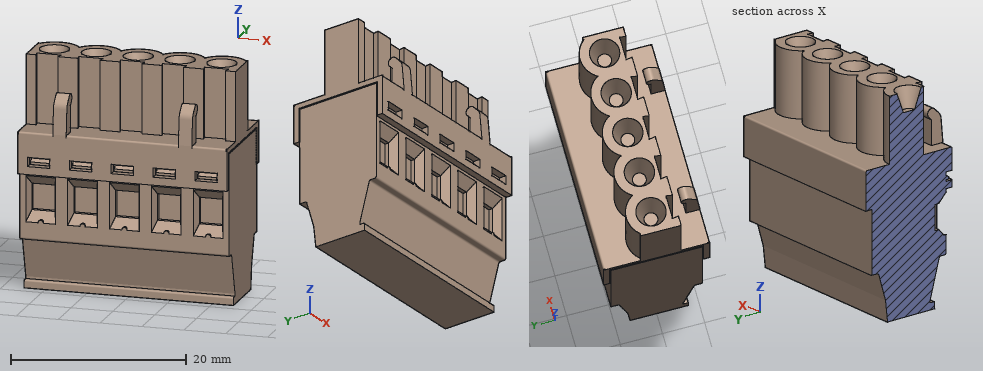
import cadquery as cq
import math


POLES = 5
PITCH = 5.0
WIDTH = POLES * PITCH
DEPTH = 12.59
HEIGHT = 27.6
pole_centres = [PITCH * (index + 0.5) for index in range(POLES)]

COLLAR_TOP = 19.27
FLAP_BOTTOM = 14.29
CAP_BOTTOM = 18.62
FLAP_THICKNESS = 0.85
COLLAR_EDGE_RADIUS = 0.22
COLLAR_END_LAND = 0.1

BODY_FRONT = FLAP_THICKNESS
BODY_BACK = DEPTH - FLAP_THICKNESS
SHOULDER_Z = 6.25
SHOULDER_RADIUS = 0.25
SHOULDER_WIDTH = 0.97
FRONT_TAPER_END = (3.18, 1.2)
BACK_TAPER_KINK = (9.75, 2.74)
BACK_FOOT_Y = 9.45
FOOT_LIP_FRONT = 2.52
FOOT_LIP_TOP = 0.95
FOOT_LIP_RADIUS = 0.2

GROOVE_WIDTH = 0.1
GROOVE_DEPTH = 0.1

PLUG_FRONT = 3.39
SOCKET_Y = 6.29
SOCKET_RADIUS = 2.91
END_LAND_BACK = 8.2
END_LAND_LENGTH = 0.25
FUNNEL_TOP_DIAMETER = 3.47
FUNNEL_BOTTOM_DIAMETER = 1.59
FUNNEL_DEPTH = 2.5

DOVETAIL_NECK = 2.62
DOVETAIL_FLOOR = 2.86
DOVETAIL_DEPTH = 0.73

LATCH_CENTRES = [PITCH, WIDTH - PITCH]
LATCH_WIDTH = 1.6
LATCH_BACK = 1.69
LATCH_TIP_CENTRE = (1.64, 23.22)
LATCH_TIP_RADIUS = 0.6
LATCH_FRONT_LEAN = 0.31
LATCH_BEND_RADIUS = 1.1

ENTRY_WIDTH = 3.55
ENTRY_BOTTOM = 8.4
ENTRY_TOP = 13.9
ENTRY_INNER_WIDTH = 2.76
ENTRY_INNER_BOTTOM = 9.58
ENTRY_INNER_TOP = 12.73
ENTRY_TAPER_DEPTH = 1.1
ENTRY_STRAIGHT_DEPTH = 0.5
ENTRY_BUMP_RADIUS = 0.32

SLOT_WIDTH = 2.66
SLOT_BOTTOM = 15.24
SLOT_TOP = 16.34
SLOT_DEPTH = 0.9
BAR_WIDTH = 2.26
BAR_BOTTOM = 15.38
BAR_FACE_TOP = 15.68
BAR_TOP = 16.02
BAR_FACE_Y = 0.48


def box(x0, x1, y0, y1, z0, z1):
    """Axis-aligned box between two opposite corners."""
    return cq.Workplane("XY").box(x1 - x0, y1 - y0, z1 - z0, centered=False).translate((x0, y0, z0))


def side_profile(points, x_start, length):
    """Prism along X from a closed outline of (y, z) points."""
    return cq.Workplane("YZ", origin=(x_start, 0, 0)).polyline(points).close().extrude(length)


def make_body():
    """Tapered body with rounded shoulders and a foot lip at the front."""
    front_y, front_z = FRONT_TAPER_END
    front_shoulder = (BODY_FRONT + SHOULDER_WIDTH, SHOULDER_Z)
    back_shoulder = (BODY_BACK - SHOULDER_WIDTH, SHOULDER_Z)
    body = side_profile([
        (FOOT_LIP_FRONT, 0),
        (FOOT_LIP_FRONT, FOOT_LIP_TOP),
        (front_y, FOOT_LIP_TOP),
        (front_y, front_z),
        front_shoulder,
        (BODY_FRONT, SHOULDER_Z),
        (BODY_FRONT, COLLAR_TOP),
        (BODY_BACK, COLLAR_TOP),
        (BODY_BACK, SHOULDER_Z),
        back_shoulder,
        BACK_TAPER_KINK,
        (BACK_FOOT_Y, 0),
    ], 0, WIDTH)

    def edge_near(y, z):
        return cq.selectors.NearestToPointSelector((WIDTH / 2, y, z))

    for y, z in [(BODY_FRONT, SHOULDER_Z), front_shoulder, back_shoulder]:
        body = body.edges(edge_near(y, z)).fillet(SHOULDER_RADIUS)
    return body.edges(edge_near(FOOT_LIP_FRONT, FOOT_LIP_TOP)).fillet(FOOT_LIP_RADIUS)


def collar_edge_waste(y_edge, inward):
    """Waste outside the rounded top edge of the collar; inward is +1 at the front, -1 at the back."""
    radius = COLLAR_EDGE_RADIUS
    arc_offset = radius * (1 - math.sqrt(0.5))
    return (
        cq.Workplane("YZ", origin=(COLLAR_END_LAND, 0, 0))
        .moveTo(y_edge, COLLAR_TOP)
        .lineTo(y_edge, COLLAR_TOP - radius)
        .threePointArc(
            (y_edge + inward * arc_offset, COLLAR_TOP - arc_offset),
            (y_edge + inward * radius, COLLAR_TOP),
        )
        .close()
        .extrude(WIDTH - 2 * COLLAR_END_LAND)
    )


def make_collar():
    """Cap and flaps as one block; the body fills the space between the flaps."""
    collar = box(0, WIDTH, 0, DEPTH, FLAP_BOTTOM, COLLAR_TOP)
    collar = collar.cut(collar_edge_waste(0, 1))
    return collar.cut(collar_edge_waste(DEPTH, -1))


def make_end_groove(x_start):
    """Inverted-U groove that follows the underside of the cap and the inside of the flaps."""
    outer = box(
        x_start, x_start + GROOVE_DEPTH,
        BODY_FRONT - GROOVE_WIDTH, BODY_BACK + GROOVE_WIDTH,
        FLAP_BOTTOM, CAP_BOTTOM,
    )
    inner = box(
        x_start, x_start + GROOVE_DEPTH,
        BODY_FRONT, BODY_BACK,
        FLAP_BOTTOM, CAP_BOTTOM - GROOVE_WIDTH,
    )
    return outer.cut(inner)


def make_plug():
    """Row of sockets with rounded backs, square at the two outer ends."""
    plug = box(0, WIDTH, PLUG_FRONT, SOCKET_Y, COLLAR_TOP, HEIGHT)
    for x in pole_centres:
        round_back = (
            cq.Workplane("XY", origin=(x, SOCKET_Y, COLLAR_TOP))
            .circle(SOCKET_RADIUS)
            .extrude(HEIGHT - COLLAR_TOP)
        )
        cell = box(x - PITCH / 2, x + PITCH / 2, SOCKET_Y, DEPTH, COLLAR_TOP, HEIGHT)
        plug = plug.union(round_back.intersect(cell))
    for x in (0, WIDTH - END_LAND_LENGTH):
        plug = plug.union(box(x, x + END_LAND_LENGTH, PLUG_FRONT, END_LAND_BACK, COLLAR_TOP, HEIGHT))
    return plug


def make_funnel(x):
    """Conical contact opening with a flat floor."""
    funnel = cq.Solid.makeCone(
        FUNNEL_BOTTOM_DIAMETER / 2, FUNNEL_TOP_DIAMETER / 2, FUNNEL_DEPTH,
        cq.Vector(x, SOCKET_Y, HEIGHT - FUNNEL_DEPTH), cq.Vector(0, 0, 1),
    )
    return cq.Workplane(funnel)


def make_dovetail(x):
    """Coding groove, wider at its floor, over the full height of the plug block."""
    return (
        cq.Workplane("XY", origin=(x, PLUG_FRONT, COLLAR_TOP))
        .polyline([
            (-DOVETAIL_NECK / 2, 0),
            (DOVETAIL_NECK / 2, 0),
            (DOVETAIL_FLOOR / 2, DOVETAIL_DEPTH),
            (-DOVETAIL_FLOOR / 2, DOVETAIL_DEPTH),
        ])
        .close()
        .extrude(HEIGHT - COLLAR_TOP)
    )


def make_latch(x):
    """Upright hook with a rounded tip that leans back over the cap."""
    tip_y, tip_z = LATCH_TIP_CENTRE
    diagonal = LATCH_TIP_RADIUS * math.sqrt(0.5)
    root_z = COLLAR_TOP - COLLAR_EDGE_RADIUS
    slope_start = (tip_y - diagonal, tip_z + diagonal)
    tip_end = (tip_y + diagonal, tip_z - diagonal)
    bend_z = slope_start[1] - (slope_start[0] - LATCH_FRONT_LEAN)
    throat_z = tip_end[1] - (tip_end[0] - LATCH_BACK)
    latch = (
        cq.Workplane("YZ", origin=(x - LATCH_WIDTH / 2, 0, 0))
        .moveTo(0, root_z)
        .lineTo(0, COLLAR_TOP)
        .lineTo(LATCH_FRONT_LEAN, bend_z)
        .lineTo(*slope_start)
        .threePointArc((tip_y + diagonal, tip_z + diagonal), tip_end)
        .lineTo(LATCH_BACK, throat_z)
        .lineTo(LATCH_BACK, root_z)
        .close()
        .extrude(LATCH_WIDTH)
    )
    bend = cq.selectors.NearestToPointSelector((x, LATCH_FRONT_LEAN, bend_z))
    return latch.edges(bend).fillet(LATCH_BEND_RADIUS)


def make_wire_entry(x):
    """Tapered wire funnel ending in a short straight pocket, with a small bump left on its sill."""
    mouth_middle = (ENTRY_BOTTOM + ENTRY_TOP) / 2
    inner_middle = (ENTRY_INNER_BOTTOM + ENTRY_INNER_TOP) / 2
    taper_end = BODY_FRONT + ENTRY_TAPER_DEPTH
    taper = (
        cq.Workplane("XZ", origin=(x, BODY_FRONT, mouth_middle))
        .rect(ENTRY_WIDTH, ENTRY_TOP - ENTRY_BOTTOM)
        .workplane(offset=-ENTRY_TAPER_DEPTH)
        .center(0, inner_middle - mouth_middle)
        .rect(ENTRY_INNER_WIDTH, ENTRY_INNER_TOP - ENTRY_INNER_BOTTOM)
        .loft(ruled=True)
    )
    pocket = box(
        x - ENTRY_INNER_WIDTH / 2, x + ENTRY_INNER_WIDTH / 2,
        taper_end, taper_end + ENTRY_STRAIGHT_DEPTH,
        ENTRY_INNER_BOTTOM, ENTRY_INNER_TOP,
    )
    bump = (
        cq.Workplane("XZ", origin=(x, BODY_FRONT, ENTRY_BOTTOM))
        .circle(ENTRY_BUMP_RADIUS)
        .extrude(-ENTRY_TAPER_DEPTH)
    )
    return taper.union(pocket).cut(bump)


def make_test_slot(x):
    """Slot cavity, less the wedge-topped bar that stands in it."""
    slot = box(x - SLOT_WIDTH / 2, x + SLOT_WIDTH / 2, 0, SLOT_DEPTH, SLOT_BOTTOM, SLOT_TOP)
    bar = side_profile([
        (BAR_FACE_Y, BAR_BOTTOM),
        (BAR_FACE_Y, BAR_FACE_TOP),
        (SLOT_DEPTH, BAR_TOP),
        (SLOT_DEPTH, BAR_BOTTOM),
    ], x - BAR_WIDTH / 2, BAR_WIDTH)
    return slot.cut(bar)


result = make_body().union(make_collar()).union(make_plug())
for latch_x in LATCH_CENTRES:
    result = result.union(make_latch(latch_x))

for pole_x in pole_centres:
    for make_opening in (make_funnel, make_dovetail, make_wire_entry, make_test_slot):
        result = result.cut(make_opening(pole_x))

for groove_x in (0, WIDTH - GROOVE_DEPTH):
    result = result.cut(make_end_groove(groove_x))